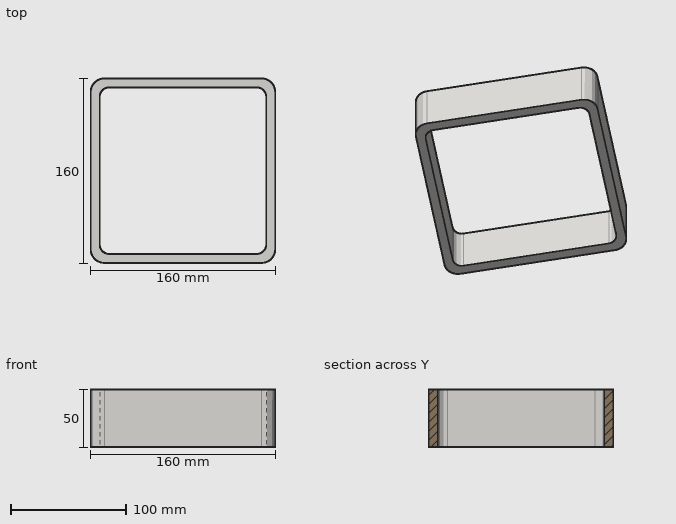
import cadquery as cq

side = 160.0
height = 50.0
wall = 8.0
outer_radius = 12.0
inner_radius = 8.0


def rounded_block(width, corner_radius):
    """Square block with its four upright edges rounded."""
    return cq.Workplane("XY").box(width, width, height).edges("|Z").fillet(corner_radius)


outer_block = rounded_block(side, outer_radius)
opening = rounded_block(side - 2 * wall, inner_radius)
result = outer_block.cut(opening)